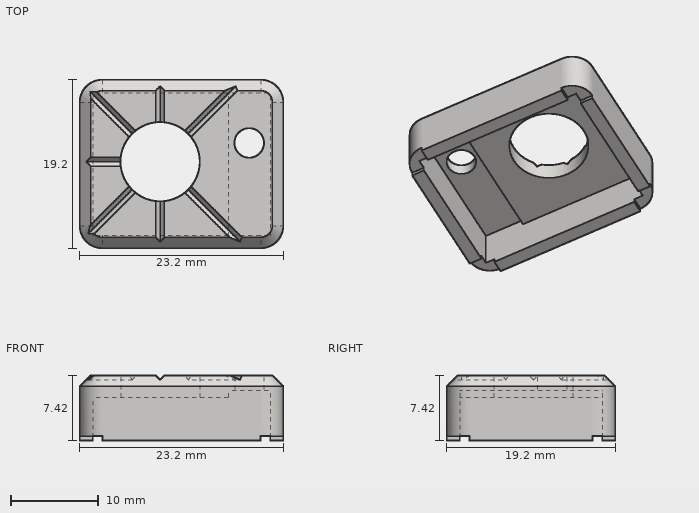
import cadquery as cq

length = 23.2
width = 19.2
height = 7.42
corner_radius = 2.6
top_chamfer = 1.25

wall = 1.5
plate_thickness = 2.5
corner_relief = 0.5
thin_plate_thickness = 1.7

main_hole_diameter = 9.0
main_hole_x = -2.44
main_hole_y = 0.25
side_hole_diameter = 3.35
side_hole_x = 7.7
side_hole_y = 2.4

groove_width = 1.0
groove_depth = groove_width / 2
groove_angles = (45, 90, 135, 180, 225, 270, 315)


def make_block():
    """Round-cornered block with a chamfered top rim."""
    block = cq.Workplane("XY").box(length, width, height, centered=(True, True, False))
    return block.edges("|Z").fillet(corner_radius).faces(">Z").edges().chamfer(top_chamfer)


def make_cavity():
    """Recess open at the bottom, deeper beside the +X wall to thin the plate at the side hole."""
    cavity_length = length - 2 * wall
    cavity_width = width - 2 * wall
    main_recess = cq.Workplane("XY").box(
        cavity_length, cavity_width, height - plate_thickness, centered=(True, True, False)
    )
    strip_length = 2 * (cavity_length / 2 - side_hole_x)
    thin_strip = (
        cq.Workplane("XY")
        .center(side_hole_x, 0)
        .rect(strip_length, cavity_width)
        .extrude(height - thin_plate_thickness)
    )
    return main_recess.union(thin_strip)


def make_corner_reliefs():
    """Shallow cuts that lift the rounded corners clear of the base."""
    spacing_x = length - corner_radius
    spacing_y = width - corner_radius
    return (
        cq.Workplane("XY")
        .rarray(spacing_x, spacing_y, 2, 2)
        .rect(corner_radius, corner_radius)
        .extrude(corner_relief)
    )


def make_hole(diameter, x, y):
    """Cylinder through the full height."""
    return cq.Workplane("XY").center(x, y).circle(diameter / 2).extrude(height)


def make_groove(angle):
    """V-shaped cutter running outward from the main hole axis."""
    profile = [(-groove_width / 2, 0), (groove_width / 2, 0), (0, -groove_depth)]
    cutter = cq.Workplane("YZ").polyline(profile).close().extrude(length)
    cutter = cutter.rotate((0, 0, 0), (0, 0, 1), angle)
    return cutter.translate((main_hole_x, main_hole_y, height))


result = make_block().cut(make_cavity()).cut(make_corner_reliefs())
result = result.cut(make_hole(main_hole_diameter, main_hole_x, main_hole_y))
result = result.cut(make_hole(side_hole_diameter, side_hole_x, side_hole_y))
for groove_angle in groove_angles:
    result = result.cut(make_groove(groove_angle))